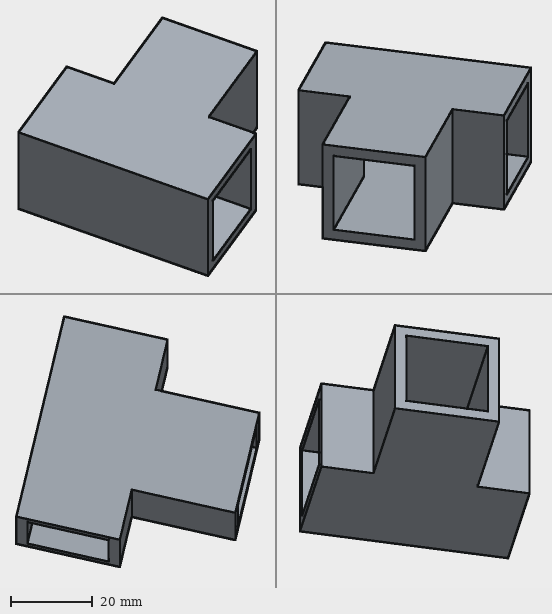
import cadquery as cq

run_length = 52.0
overall_depth = 52.0
tube_side = 26.0
bore_side = 20.4
run_center_y = (tube_side - overall_depth) / 2
branch_length = overall_depth / 2 - run_center_y


def square_tee(side):
    """Solid tee of square section, with the branch starting on the run's axis."""
    run = cq.Workplane("XY").box(run_length, side, side).translate((0, run_center_y, 0))
    branch = (
        cq.Workplane("XY")
        .box(side, branch_length, side)
        .translate((0, run_center_y + branch_length / 2, 0))
    )
    return run.union(branch)


result = square_tee(tube_side).cut(square_tee(bore_side)).clean()